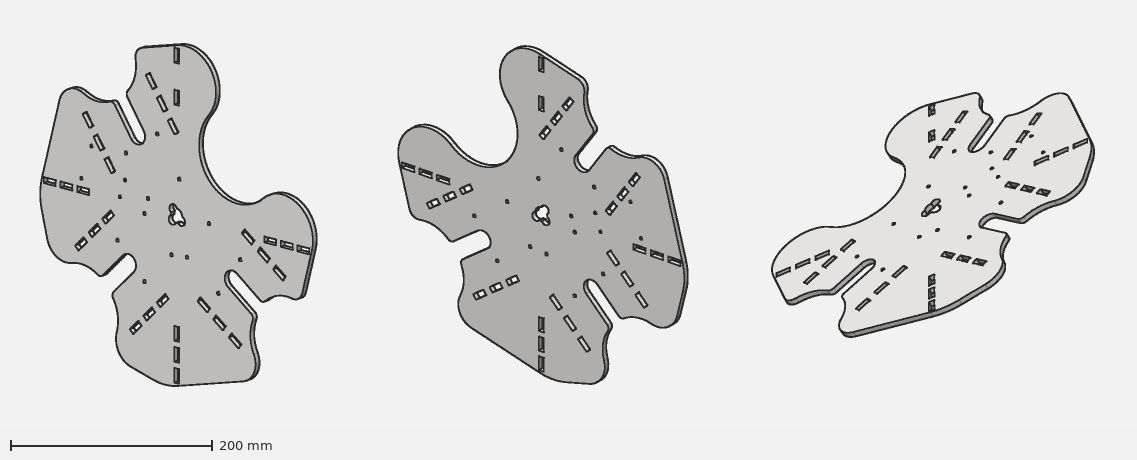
import cadquery as cq
import math

SIZE = 359.5
THICKNESS = 6.0

ARM_ANGLES = (125.0, 225.0, -35.0)
DIAGONAL = 45.0

EDGE_OFFSET = 172.0
TOP_EDGE_NORMAL = 105.0
LEFT_EDGE_NORMAL = 165.0
HEEL_EDGE_NORMAL = 194.0
LOBE_RADIUS = 40.0
NOTCH_DISTANCE = 113.5
SHOULDER_RADIUS = 11.5
ARM_CORNER_RADIUS = 22.3
SIDE_RADIUS = 64.7
HEEL_RADIUS = 26.0

CHANNEL_RADIUS = 10.0
CHANNEL_END = 90.0
MOUTH_RADIUS = 42.0
MOUTH_DISTANCE = 173.5
MOUTH_SPREAD = 5.0
LIP_RADIUS = 5.5

TOUCH_TOLERANCE = 0.0005

SLOT_LENGTH = 15.5
SLOT_WIDTH = 6.0
AXIS_SLOT_MIDDLE = 145.3
AXIS_SLOT_PITCH = 22.0
ARM_SLOT_FIRST = 78.5
ARM_SLOT_PITCH = 25.0
ARM_SLOT_OFFSETS = (52.5, -49.3)

HUB_RADIUS = 7.5
HUB_LOBE_RADIUS = 4.85
HUB_LOBE_DISTANCE = 7.73

MOUNT_HOLE_DIAMETER = 3.4
MOUNT_SQUARE = 50.5
MOUNT_DISTANCES = (30.0, 34.5, 34.5)
BOARD_HOLE_DIAMETER = 3.0
BOARD_ANGLE = 160.0
BOARD_INNER_PAIR = (-71.2, 13.3)
BOARD_PAIR_DISTANCE = 50.7
BOARD_INNER_SPACING = 20.0
BOARD_OUTER_SPACING = 39.0


def polar(distance, angle, start=(0.0, 0.0)):
    """Point at a distance from start in the direction of angle (degrees)."""
    a = math.radians(angle)
    return (start[0] + distance * math.cos(a), start[1] + distance * math.sin(a))


def local(angle, along, across):
    """Point given along a direction from the hub and across it (positive to its left)."""
    return polar(across, angle + 90, polar(along, angle))


def direction(start, end):
    return math.degrees(math.atan2(end[1] - start[1], end[0] - start[0]))


def mirror(point):
    """Reflect a point in the diagonal x = z."""
    return (point[1], point[0])


def on_line(normal, offset, center, distance, side):
    """Point on the line with this normal and offset, at a distance from center.

    side is +1 or -1 and picks the solution along the direction normal + 90.
    """
    a = math.radians(normal)
    gap = offset - center[0] * math.cos(a) - center[1] * math.sin(a)
    foot = polar(gap, normal, center)
    return polar(side * math.sqrt(distance**2 - gap**2), normal + 90, foot)


def on_line_x(normal, offset, z):
    """X of the point at height z on the line with this normal and offset."""
    a = math.radians(normal)
    return (offset - z * math.sin(a)) / math.cos(a)


def on_line_z(normal, offset, x):
    """Z of the point at x on the line with this normal and offset."""
    a = math.radians(normal)
    return (offset - x * math.cos(a)) / math.sin(a)


def channel_arcs(angle):
    """Centres of the mouth arc and lip on the right and left of a channel."""
    sides = []
    for side in (-1, 1):
        mouth = local(angle, MOUTH_DISTANCE, side * MOUTH_SPREAD)
        lip = on_line(angle + side * 90, CHANNEL_RADIUS + LIP_RADIUS, mouth,
                      MOUTH_RADIUS + LIP_RADIUS, side)
        sides.append((mouth, lip))
    return sides


def half_outline():
    """Arcs (center, radius, turn) above the diagonal, counterclockwise in (x, z).

    turn is +1 for convex arcs and -1 for concave ones; neighbours are tangent or
    joined by a straight tangent line.
    """
    upper, lower = ARM_ANGLES[:2]
    (right_mouth, right_lip), (left_mouth, left_lip) = channel_arcs(upper)
    foot_mouth, foot_lip = channel_arcs(lower)[0]

    lobe_height = SIZE / 2 - LOBE_RADIUS
    lobe = (on_line_x(TOP_EDGE_NORMAL, EDGE_OFFSET - LOBE_RADIUS, lobe_height), lobe_height)
    notch = polar(NOTCH_DISTANCE, DIAGONAL)
    notch_radius = math.dist(notch, lobe) - LOBE_RADIUS

    shoulder = on_line(TOP_EDGE_NORMAL, EDGE_OFFSET - SHOULDER_RADIUS, right_mouth,
                       MOUTH_RADIUS + SHOULDER_RADIUS, -1)
    arm_corner = on_line(LEFT_EDGE_NORMAL, EDGE_OFFSET - ARM_CORNER_RADIUS, left_mouth,
                         MOUTH_RADIUS + ARM_CORNER_RADIUS, 1)

    side_x = SIDE_RADIUS - SIZE / 2
    side = (side_x, on_line_z(LEFT_EDGE_NORMAL, EDGE_OFFSET - SIDE_RADIUS, side_x))
    heel_normal = math.radians(HEEL_EDGE_NORMAL)
    heel_offset = side[0] * math.cos(heel_normal) + side[1] * math.sin(heel_normal) + SIDE_RADIUS
    heel = on_line(HEEL_EDGE_NORMAL, heel_offset - HEEL_RADIUS, foot_mouth,
                   MOUTH_RADIUS + HEEL_RADIUS, -1)

    return [
        (notch, notch_radius, -1),
        (lobe, LOBE_RADIUS, 1),
        (shoulder, SHOULDER_RADIUS, 1),
        (right_mouth, MOUTH_RADIUS, -1),
        (right_lip, LIP_RADIUS, 1),
        (polar(CHANNEL_END, upper), CHANNEL_RADIUS, -1),
        (left_lip, LIP_RADIUS, 1),
        (left_mouth, MOUTH_RADIUS, -1),
        (arm_corner, ARM_CORNER_RADIUS, 1),
        (side, SIDE_RADIUS, 1),
        (heel, HEEL_RADIUS, 1),
        (foot_mouth, MOUTH_RADIUS, -1),
        (foot_lip, LIP_RADIUS, 1),
        (polar(CHANNEL_END, lower), CHANNEL_RADIUS, -1),
    ]


def tangent_point(arc, heading):
    """Point of an arc where the outline runs in the direction of heading."""
    center, radius, turn = arc
    return polar(radius, heading - turn * 90, center)


def travel_heading(first, second):
    """Heading of the common tangent from one arc to the next along the outline."""
    (center_1, radius_1, turn_1), (center_2, radius_2, turn_2) = first, second
    ratio = (turn_1 * radius_1 - turn_2 * radius_2) / math.dist(center_1, center_2)
    ratio = max(-1.0, min(1.0, ratio))
    return direction(center_1, center_2) + math.degrees(math.asin(ratio))


def plate():
    half = half_outline()
    mirrored = [(mirror(center), radius, turn) for center, radius, turn in half[-2:0:-1]]
    arcs = half + mirrored
    headings = [travel_heading(arc, arcs[(i + 1) % len(arcs)]) for i, arc in enumerate(arcs)]

    outline = cq.Workplane("XZ").moveTo(*tangent_point(arcs[-1], headings[-1]))
    for i, arc in enumerate(arcs):
        turn = arc[2]
        entry, leave = headings[i - 1], headings[i]
        sweep = (turn * (leave - entry)) % 360
        start = tangent_point(arc, entry)
        end = tangent_point(arc, leave)
        if math.dist(tangent_point(arcs[i - 1], entry), start) > TOUCH_TOLERANCE:
            outline = outline.lineTo(*start)
        outline = outline.threePointArc(tangent_point(arc, entry + turn * sweep / 2), end)
    return outline.close().extrude(THICKNESS / 2, both=True)


def slot(center, angle):
    box = cq.Workplane("XY").box(SLOT_LENGTH, 2 * THICKNESS, SLOT_WIDTH)
    return box.rotate((0, 0, 0), (0, 1, 0), -angle).translate((center[0], 0, center[1]))


def holes(points, diameter):
    return (
        cq.Workplane("XZ").pushPoints(points).circle(diameter / 2).extrude(THICKNESS, both=True)
    )


def axis_slots():
    """Rows of slots along the X and Z axes; the +Z row has no middle slot."""
    slots = []
    for angle in (0, 90, 180, 270):
        for step in (-1, 0, 1):
            if angle == 90 and step == 0:
                continue
            slots.append(slot(polar(AXIS_SLOT_MIDDLE + step * AXIS_SLOT_PITCH, angle), angle))
    return slots


def arm_slots():
    """A row of three slots on each side of every channel, parallel to it."""
    slots = []
    for angle in ARM_ANGLES:
        for offset in ARM_SLOT_OFFSETS:
            for step in range(3):
                center = local(angle, ARM_SLOT_FIRST + step * ARM_SLOT_PITCH, offset)
                slots.append(slot(center, angle))
    return slots


def hub_opening():
    lobes = [polar(HUB_LOBE_DISTANCE, angle) for angle in ARM_ANGLES]
    return [holes([(0, 0)], 2 * HUB_RADIUS), holes(lobes, 2 * HUB_LOBE_RADIUS)]


def mount_holes():
    """A square of four holes straddling each channel."""
    points = []
    for angle, first in zip(ARM_ANGLES, MOUNT_DISTANCES):
        for along in (first, first + MOUNT_SQUARE):
            for across in (-MOUNT_SQUARE / 2, MOUNT_SQUARE / 2):
                points.append(local(angle, along, across))
    return holes(points, MOUNT_HOLE_DIAMETER)


def board_holes():
    """Four holes at the corners of a symmetric trapezoid."""
    outer_pair = polar(BOARD_PAIR_DISTANCE, BOARD_ANGLE, BOARD_INNER_PAIR)
    points = []
    pairs = ((BOARD_INNER_PAIR, BOARD_INNER_SPACING), (outer_pair, BOARD_OUTER_SPACING))
    for pair, spacing in pairs:
        for side in (-1, 1):
            points.append(polar(side * spacing / 2, BOARD_ANGLE + 90, pair))
    return holes(points, BOARD_HOLE_DIAMETER)


result = plate()
for cutter in axis_slots() + arm_slots() + hub_opening() + [mount_holes(), board_holes()]:
    result = result.cut(cutter)